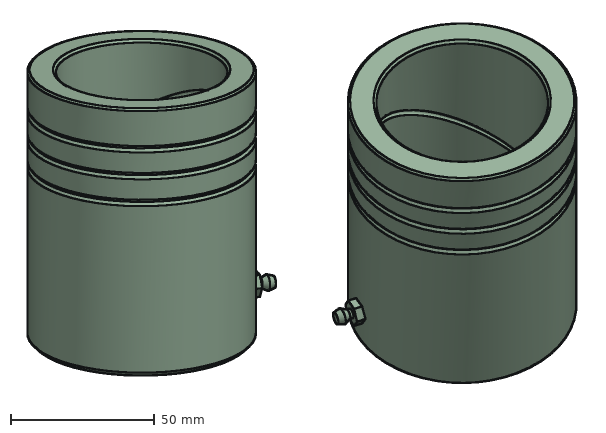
import cadquery as cq
import math

height = 100.0
outer_radius = 40.0
bore_radius = 30.0
top_chamfer = 0.8
bottom_chamfer = 1.8
bore_chamfer = 1.0

groove_heights = [65.0, 75.0, 85.0]
groove_width = 2.4
groove_depth = 1.0

oil_groove_height = 68.0
oil_groove_tilt = 30.0
oil_groove_radius = 1.0

nipple_height = 15.0
hex_across_flats = 8.2
hex_end = 43.0
neck_end = 44.2
head_widest = 46.5
nipple_tip = 49.0
neck_radius = 1.8
head_radius = 3.0
tip_radius = 2.2


def bushing_blank():
    """Chamfered half-section of the sleeve, revolved about Z."""
    profile = [
        (bore_radius + bore_chamfer, 0),
        (outer_radius - bottom_chamfer, 0),
        (outer_radius, bottom_chamfer),
        (outer_radius, height - top_chamfer),
        (outer_radius - top_chamfer, height),
        (bore_radius + bore_chamfer, height),
        (bore_radius, height - bore_chamfer),
        (bore_radius, bore_chamfer),
    ]
    return cq.Workplane("XZ").polyline(profile).close().revolve(360, (0, 0), (0, 1))


def outer_groove(center_height):
    """V-section ring that cuts one groove in the outer surface."""
    half_width = groove_width / 2
    profile = [
        (outer_radius - groove_depth, center_height),
        (outer_radius, center_height + half_width),
        (outer_radius + groove_depth, center_height + half_width),
        (outer_radius + groove_depth, center_height - half_width),
        (outer_radius, center_height - half_width),
    ]
    return cq.Workplane("XZ").polyline(profile).close().revolve(360, (0, 0), (0, 1))


def oil_groove():
    """Round bar swept along the ellipse where a slanted plane meets the bore."""
    tilt = math.radians(oil_groove_tilt)
    center = cq.Vector(0, 0, oil_groove_height)
    plane_normal = cq.Vector(0, -math.sin(tilt), math.cos(tilt))
    long_axis = cq.Vector(0, math.cos(tilt), math.sin(tilt))
    long_radius = bore_radius / math.cos(tilt)
    path = cq.Wire.makeEllipse(long_radius, bore_radius, center, plane_normal, long_axis)
    path_start = center + long_axis * long_radius
    section = cq.Plane(origin=path_start, xDir=long_axis, normal=(1, 0, 0))
    return cq.Workplane(section).circle(oil_groove_radius).sweep(cq.Workplane(path))


def make_bushing():
    body = bushing_blank()
    for center_height in groove_heights:
        body = body.cut(outer_groove(center_height))
    return body.cut(oil_groove())


def make_grease_nipple():
    """Hexagon seated on the curved outer wall, with a neck and coned head."""
    across_corners = hex_across_flats / math.cos(math.radians(30))
    hexagon = (
        cq.Workplane("XZ", origin=(0, 0, nipple_height))
        .polygon(6, across_corners)
        .extrude(-hex_end)
    )
    wall = cq.Workplane("XY").circle(outer_radius).extrude(height)
    head_profile = [
        (0, outer_radius),
        (neck_radius, outer_radius),
        (neck_radius, neck_end),
        (head_radius, head_widest),
        (tip_radius, nipple_tip),
        (0, nipple_tip),
    ]
    head = (
        cq.Workplane("XY", origin=(0, 0, nipple_height))
        .polyline(head_profile)
        .close()
        .revolve(360, (0, 0), (0, 1))
    )
    return hexagon.union(head).cut(wall)


bushing = make_bushing()
grease_nipple = make_grease_nipple()

result = cq.Compound.makeCompound([bushing.solids().val(), grease_nipple.solids().val()])